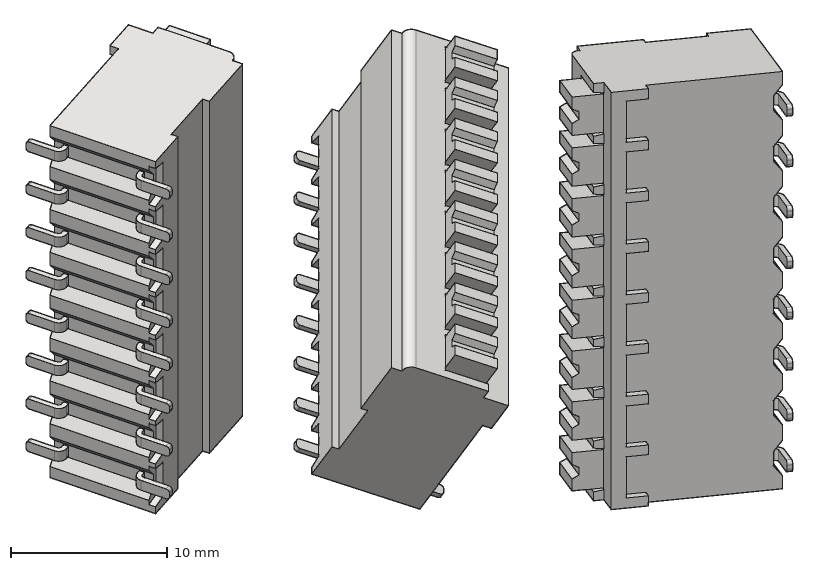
import cadquery as cq

length = 28.7
positions = 8
end_contact = 2.12
pitch = (length - 2 * end_contact) / (positions - 1)

side_x = 3.62
flange_x = 4.1
lip_x = -4.25
shoulder_y = 11.55
foot_y = 2.95
upper_flange_y = 7.12
lip_wall_y = 10.53
lip_tab_y = 9.07
lip_tab_width = 0.65

block_left = -2.47
block_right = 3.35
block_top = 12.23
block_round = 0.65
rib_root = 0.65
rib_tip = 0.5

button_left = -2.4
button_right = 0.6
button_width = 2.65
button_top = 13.63
button_notch_depth = 0.45
button_notch_mouth = 1.0
button_notch_floor = 0.52

groove_depth = 0.6
groove_floor = 1.0
groove_slope = 0.72

pocket_depth = 0.98
pocket_tilt = 0.03
tab_tip = 0.37
tab_root = 0.75

pin_reach = 5.25
pin_front = -0.23
pin_thickness = 0.37
pin_height = 0.8
pin_leg_x = 2.58
pin_bend = 0.57
pin_tip_round = 0.25
pin_embed = 0.3

contact_z = [(i - (positions - 1) / 2) * pitch for i in range(positions)]
web_z = [(i - positions / 2) * pitch for i in range(positions + 1)]


def prism_along_x(points_yz, x0, x1):
    """Prism with a Y-Z outline running from x0 to x1."""
    return cq.Workplane("YZ", origin=(x0, 0, 0)).polyline(points_yz).close().extrude(x1 - x0)


def lip_tab(low, high):
    """Tab hanging from the lip wall towards the front, between two Z levels."""
    depth = lip_wall_y - lip_tab_y
    tab = cq.Workplane("XY").box(-side_x - lip_x, depth, high - low, centered=False)
    return tab.translate((lip_x, lip_tab_y, low))


def make_core():
    """Housing with both +X flanges, the -X lip and the raised block."""
    outline = [
        (-side_x, 0),
        (flange_x, 0),
        (flange_x, foot_y),
        (side_x, foot_y),
        (side_x, upper_flange_y),
        (flange_x, upper_flange_y),
        (flange_x, shoulder_y),
        (block_right, shoulder_y),
        (block_right, block_top),
        (block_left, block_top),
        (block_left, shoulder_y),
        (lip_x, shoulder_y),
        (lip_x, lip_wall_y),
        (-side_x, lip_wall_y),
    ]
    core = cq.Workplane("XY", origin=(0, 0, -length / 2)).polyline(outline).close().extrude(length)
    core = core.edges(cq.selectors.NearestToPointSelector((block_right, block_top, 0))).fillet(block_round)
    for z in web_z[1:-1]:
        core = core.union(lip_tab(z - lip_tab_width / 2, z + lip_tab_width / 2))
    core = core.union(lip_tab(-length / 2, web_z[0] + lip_tab_width / 2))
    return core.union(lip_tab(web_z[-1] - lip_tab_width / 2, length / 2))


def button_bay(z):
    """Space in the raised block around one button, open towards -X and widening towards +Y."""
    floor = (pitch - rib_root) / 2
    mouth = (pitch - rib_tip) / 2
    outline = [
        (shoulder_y, z - floor),
        (block_top, z - mouth),
        (block_top, z + mouth),
        (shoulder_y, z + floor),
    ]
    return prism_along_x(outline, block_left, button_right)


def front_groove(z):
    """Trapezoidal groove across the front face at one contact."""
    floor = groove_floor / 2
    mouth = floor + groove_slope
    outline = [(0, z - mouth), (groove_depth, z - floor), (groove_depth, z + floor), (0, z + mouth)]
    return prism_along_x(outline, -side_x, side_x)


def flange_pocket(z):
    """Pocket in the lower flange between two tapered tabs, with a slightly tilted floor."""
    mouth = (pitch - tab_tip) / 2
    floor = (pitch - tab_root) / 2
    depth = pocket_depth + pocket_tilt
    outline = [(0, z - mouth), (depth, z - floor), (depth, z + floor), (0, z + mouth)]
    tilted_floor = (
        cq.Workplane("XY", origin=(0, 0, z - mouth))
        .polyline([(side_x, 0), (flange_x, 0), (flange_x, depth), (side_x, pocket_depth)])
        .close()
        .extrude(2 * mouth)
    )
    return prism_along_x(outline, side_x, flange_x).intersect(tilted_floor)


def button(z):
    """Push button with a tool notch across its top."""
    half = button_width / 2
    mouth = button_notch_mouth / 2
    floor = button_notch_floor / 2
    notch_y = button_top - button_notch_depth
    outline = [
        (shoulder_y, z - half),
        (button_top, z - half),
        (button_top, z - mouth),
        (notch_y, z - floor),
        (notch_y, z + floor),
        (button_top, z + mouth),
        (button_top, z + half),
        (shoulder_y, z + half),
    ]
    return prism_along_x(outline, button_left, button_right)


def contact_pin(z):
    """L-shaped pin: a leg out of the +X half of the groove, bent outwards to a rounded tip."""
    leg_end = groove_depth + pin_embed
    back = pin_front + pin_thickness
    pin = (
        cq.Workplane("XY", origin=(0, 0, z - pin_height / 2))
        .moveTo(pin_leg_x, leg_end)
        .lineTo(pin_leg_x, pin_front + pin_bend)
        .radiusArc((pin_leg_x + pin_bend, pin_front), -pin_bend)
        .lineTo(pin_reach, pin_front)
        .lineTo(pin_reach, back)
        .lineTo(pin_leg_x + pin_bend, back)
        .radiusArc((pin_leg_x + pin_thickness, pin_front + pin_bend), pin_bend - pin_thickness)
        .lineTo(pin_leg_x + pin_thickness, leg_end)
        .close()
        .extrude(pin_height)
    )
    return pin.edges("|Y and >X").fillet(pin_tip_round)


result = make_core()
for z in contact_z:
    result = result.cut(front_groove(z)).cut(flange_pocket(z)).cut(button_bay(z))
for z in contact_z:
    pin = contact_pin(z)
    result = result.union(button(z)).union(pin).union(pin.mirror("YZ"))